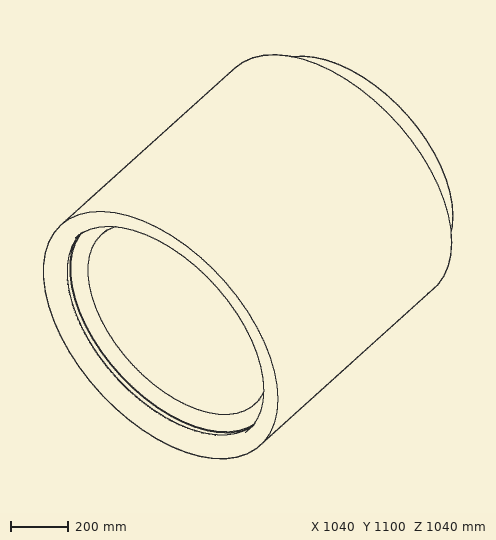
import cadquery as cq
import math

length = 1100.0
outer_diameter = 1040.0
bore_diameter = 800.0

spigot_length = 110.0
spigot_diameter = 890.0

socket_depth = 100.0
socket_diameter = 904.0

corner_radius = 10.0

groove_start = 50.0
groove_width = 20.0
groove_depth = 4.0

arc_mid = corner_radius * math.sqrt(0.5)

front_y = -length / 2
back_y = length / 2


def make_body():
    """Outer shape: barrel with the narrower, rounded spigot at the back."""
    outer_radius = outer_diameter / 2
    spigot_radius = spigot_diameter / 2
    shoulder_y = back_y - spigot_length
    arc_center_x = spigot_radius - corner_radius
    arc_center_y = back_y - corner_radius
    half_section = (
        cq.Workplane("XY")
        .moveTo(0, front_y)
        .lineTo(outer_radius, front_y)
        .lineTo(outer_radius, shoulder_y)
        .lineTo(spigot_radius, shoulder_y)
        .lineTo(spigot_radius, arc_center_y)
        .threePointArc((arc_center_x + arc_mid, arc_center_y + arc_mid), (arc_center_x, back_y))
        .lineTo(0, back_y)
        .close()
    )
    return half_section.revolve(360, (0, 0, 0), (0, 1, 0))


def make_cavity():
    """Inner space: socket with rounded mouth, seal groove and floor corner, then the bore."""
    bore_radius = bore_diameter / 2
    socket_radius = socket_diameter / 2
    groove_radius = socket_radius + groove_depth
    groove_front_y = front_y + groove_start
    groove_back_y = groove_front_y + groove_width
    floor_y = front_y + socket_depth
    mouth_center_x = socket_radius + corner_radius
    mouth_center_y = front_y + corner_radius
    floor_center_x = socket_radius - corner_radius
    floor_center_y = floor_y - corner_radius
    half_section = (
        cq.Workplane("XY")
        .moveTo(0, front_y)
        .lineTo(mouth_center_x, front_y)
        .threePointArc((mouth_center_x - arc_mid, mouth_center_y - arc_mid), (socket_radius, mouth_center_y))
        .lineTo(socket_radius, groove_front_y)
        .lineTo(groove_radius, groove_front_y)
        .lineTo(groove_radius, groove_back_y)
        .lineTo(socket_radius, groove_back_y)
        .lineTo(socket_radius, floor_center_y)
        .threePointArc((floor_center_x + arc_mid, floor_center_y + arc_mid), (floor_center_x, floor_y))
        .lineTo(bore_radius, floor_y)
        .lineTo(bore_radius, back_y)
        .lineTo(0, back_y)
        .close()
    )
    return half_section.revolve(360, (0, 0, 0), (0, 1, 0))


result = make_body().cut(make_cavity())